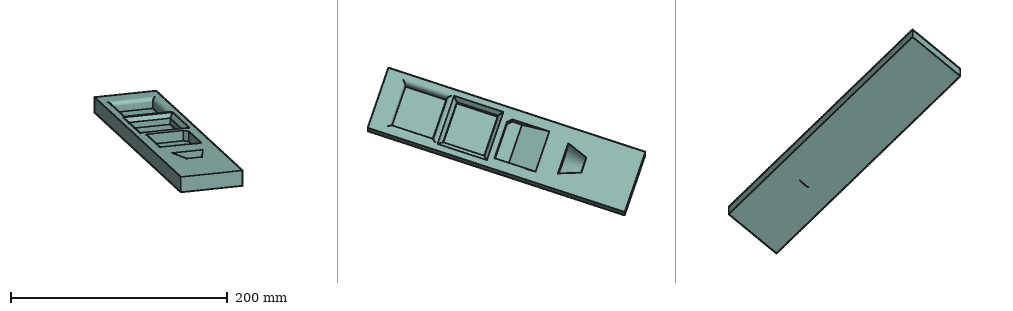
import cadquery as cq

length = 250.0
width = 60.0
thickness = 15.0
mid_y = width / 2

pocket_side = 40.0
pocket_depth = 10.0
rim_size = 4.0
pocket_gap = 10.0
rounded_pocket_x = 20.0
chamfered_pocket_x = rounded_pocket_x + pocket_side + pocket_gap
ramp_pocket_x = chamfered_pocket_x + pocket_side + pocket_gap

ramp_floor_length = pocket_side / 3
ramp_corner_chamfer = 4.0

cone_start_x = 180.0
cone_length = 20.0
cone_start_radius = 15.0
cone_end_radius = 7.5


def square_pocket(left_x):
    """Square cutter reaching from the pocket floor to the top face."""
    return (
        cq.Workplane("XY", origin=(left_x, mid_y, thickness - pocket_depth))
        .box(pocket_side, pocket_side, pocket_depth, centered=(False, True, False))
    )


def ramp_pocket():
    """Pocket with a ramp on its +X side and one chamfered upright corner."""
    right_x = ramp_pocket_x + pocket_side
    floor_z = thickness - pocket_depth
    wedge = (
        cq.Workplane("XZ", origin=(0, mid_y, 0))
        .moveTo(ramp_pocket_x, thickness)
        .lineTo(ramp_pocket_x, floor_z)
        .lineTo(ramp_pocket_x + ramp_floor_length, floor_z)
        .lineTo(right_x, thickness)
        .close()
        .extrude(pocket_side / 2, both=True)
    )
    return wedge.edges("|Z and >Y").chamfer(ramp_corner_chamfer)


def tapered_recess():
    """Frustum whose lower half cuts the plate."""
    return (
        cq.Workplane("XY", origin=(cone_start_x, mid_y, thickness))
        .lineTo(0, cone_start_radius)
        .lineTo(cone_length, cone_end_radius)
        .lineTo(cone_length, 0)
        .close()
        .revolve(360, (0, 0), (1, 0))
    )


def rim_edges(body, left_x):
    """The four top edges of the square pocket that starts at left_x."""
    margin = pocket_gap / 4
    low = (left_x - margin, mid_y - pocket_side / 2 - margin, thickness - margin)
    high = (left_x + pocket_side + margin, mid_y + pocket_side / 2 + margin, thickness + margin)
    return body.edges(cq.selectors.BoxSelector(low, high))


plate = cq.Workplane("XY").box(length, width, thickness, centered=False)
plate = plate.cut(square_pocket(rounded_pocket_x))
plate = plate.cut(square_pocket(chamfered_pocket_x))
plate = rim_edges(plate, rounded_pocket_x).fillet(rim_size)
plate = rim_edges(plate, chamfered_pocket_x).chamfer(rim_size)
plate = plate.cut(ramp_pocket())
result = plate.cut(tapered_recess())